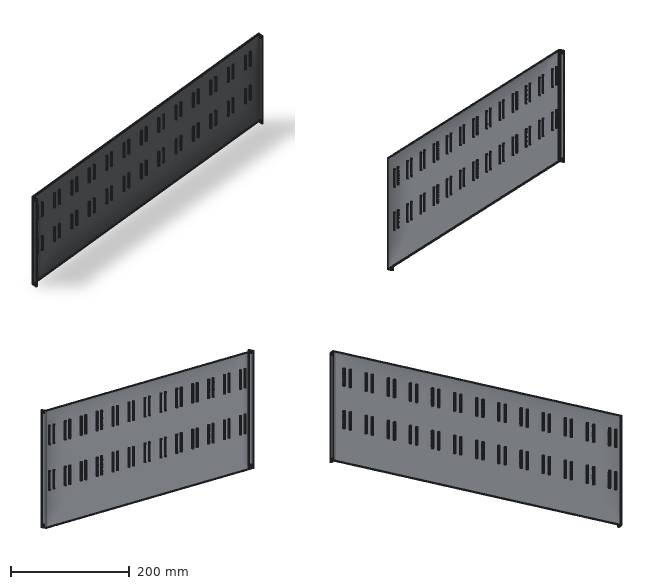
import cadquery as cq

depth = 10.0
length = 550.0
height = 203.2

sheet_thickness = 2.0
bend_inner_radius = 1.0
bend_outer_radius = bend_inner_radius + sheet_thickness

slot_width = 3.0
slot_length = 33.0
pair_count = 13
pair_pitch = 42.15
pair_spacing = 11.85
first_pair_inset = 27.3
upper_row_inset = 43.8
row_spacing = 79.1

hole_diameter = 2.5
hole_x = 6.0
hole_inset = 4.0


def upright_block(x_start, x_end, half_length):
    """Full-height block, centred on Y and Z."""
    return (
        cq.Workplane("XY")
        .box(x_end - x_start, 2 * half_length, height, centered=(False, True, True))
        .translate((x_start, 0, 0))
    )


def rounded_block(x_start, half_length, radius):
    """Block whose two front upright edges are rounded; its back lies beyond the flange tips."""
    block = upright_block(x_start, 2 * depth, half_length)
    return block.edges("|Z and <X").fillet(radius)


def bend_envelope():
    return rounded_block(0, length / 2, bend_outer_radius)


def folded_sheet():
    """Panel with a flange folded back at each end."""
    cavity = rounded_block(sheet_thickness, length / 2 - sheet_thickness, bend_inner_radius)
    trim = upright_block(0, depth, length / 2)
    return bend_envelope().cut(cavity).intersect(trim)


def outside_corners():
    """Slivers that square off the outside of the two bends."""
    return upright_block(0, bend_outer_radius, length / 2).cut(bend_envelope())


def slot_cutter():
    upper_row = height / 2 - upper_row_inset
    centres = []
    for pair in range(pair_count):
        pair_centre = length / 2 - first_pair_inset - pair * pair_pitch
        for side in (-1, 1):
            for row in (upper_row, upper_row - row_spacing):
                centres.append((pair_centre + side * pair_spacing / 2, row))
    return cq.Workplane("YZ").pushPoints(centres).slot2D(slot_length, slot_width, 90).extrude(sheet_thickness)


def hole_cutter():
    hole_z = height / 2 - hole_inset
    return (
        cq.Workplane("XZ")
        .pushPoints([(hole_x, -hole_z), (hole_x, hole_z)])
        .circle(hole_diameter / 2)
        .extrude(length / 2, both=True)
    )


far_corner = outside_corners().solids(">Y")
tray = folded_sheet().cut(slot_cutter()).cut(hole_cutter()).union(far_corner, clean=False)

corner_strip = outside_corners().solids("<Y")

result = cq.Compound.makeCompound([tray.solids().val(), corner_strip.val()])